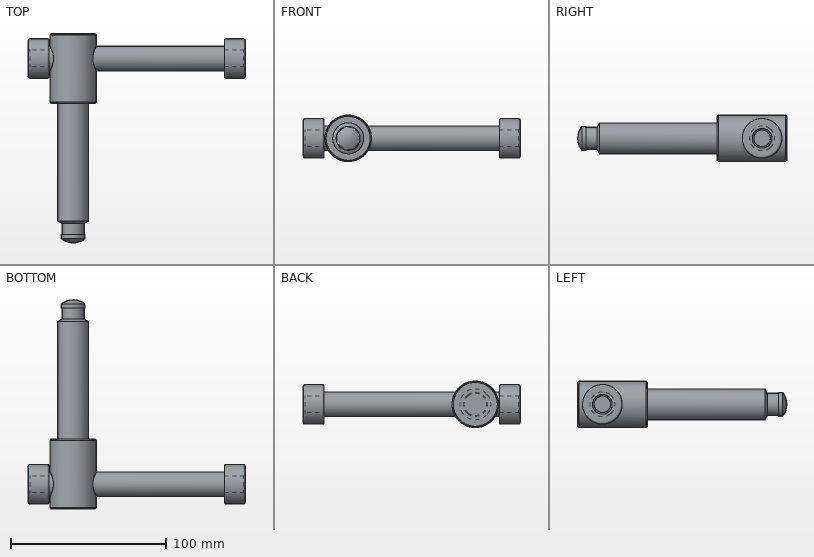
import cadquery as cq


head_diameter = 30.0
head_length = 45.0
head_chamfer = 0.8
bar_to_head_end = 16.0

overall_length = 135.0
shaft_diameter = 20.0
neck_diameter = 14.4
tip_diameter = 15.5
tip_rim_length = 2.6
dome_height = 2.8
neck_length = 7.1
shaft_taper_length = 1.7

bar_overall_length = 140.0
bar_diameter = 16.0
knob_diameter = 25.6
knob_length = 13.5
knob_fillet = 1.28
knob_bore_diameter = 10.67
knob_bore_chamfer = 1.0
knob_to_head_gap = 0.5

head_end_y = bar_to_head_end
head_base_y = head_end_y - head_length
tip_y = head_end_y - overall_length
dome_base_y = tip_y + dome_height
rim_top_y = dome_base_y + tip_rim_length
neck_top_y = rim_top_y + neck_length
shaft_end_y = neck_top_y + shaft_taper_length

bar_left_x = -(knob_length + knob_to_head_gap + head_diameter / 2)
bar_right_x = bar_left_x + bar_overall_length


def make_head():
    """Cylindrical head, chamfered at both ends."""
    head = cq.Workplane("XZ", origin=(0, head_end_y, 0)).circle(head_diameter / 2).extrude(head_length)
    return head.edges("%CIRCLE").chamfer(head_chamfer)


def make_shaft():
    """Shaft, relief neck and domed thrust tip, turned about the Y axis."""
    shaft_radius = shaft_diameter / 2
    neck_radius = neck_diameter / 2
    tip_radius = tip_diameter / 2
    dome_radius = (tip_radius**2 + dome_height**2) / (2 * dome_height)
    dome_center_y = tip_y + dome_radius
    dome_mid_x = tip_radius / 2
    dome_mid_y = dome_center_y - (dome_radius**2 - dome_mid_x**2) ** 0.5
    return (
        cq.Workplane("XY")
        .moveTo(0, head_base_y)
        .lineTo(shaft_radius, head_base_y)
        .lineTo(shaft_radius, shaft_end_y)
        .lineTo(neck_radius, neck_top_y)
        .lineTo(neck_radius, rim_top_y)
        .lineTo(tip_radius, rim_top_y)
        .lineTo(tip_radius, dome_base_y)
        .threePointArc((dome_mid_x, dome_mid_y), (0, tip_y))
        .close()
        .revolve(360, (0, 0), (0, 1))
    )


def make_bar():
    """Plain bar that fills the space between the two knobs."""
    bar_length = bar_overall_length - 2 * knob_length
    return (
        cq.Workplane("YZ", origin=(bar_left_x + knob_length, 0, 0))
        .circle(bar_diameter / 2)
        .extrude(bar_length)
    )


def make_knob(outer_x, inward):
    """Rounded end knob with a chamfered bore; inward is +1 or -1 along X."""
    outer_face = cq.Workplane("YZ", origin=(outer_x, 0, 0))
    knob = outer_face.circle(knob_diameter / 2).extrude(inward * knob_length)
    knob = knob.edges("%CIRCLE").fillet(knob_fillet)
    bore = outer_face.circle(knob_bore_diameter / 2).extrude(inward * knob_length)
    mouth = (
        outer_face.circle(knob_bore_diameter / 2 + knob_bore_chamfer)
        .workplane(offset=inward * knob_bore_chamfer)
        .circle(knob_bore_diameter / 2)
        .loft()
    )
    return knob.cut(bore).cut(mouth)


result = make_head().union(make_shaft()).union(make_bar())
for outer_x, inward in ((bar_left_x, 1), (bar_right_x, -1)):
    result = result.union(make_knob(outer_x, inward))